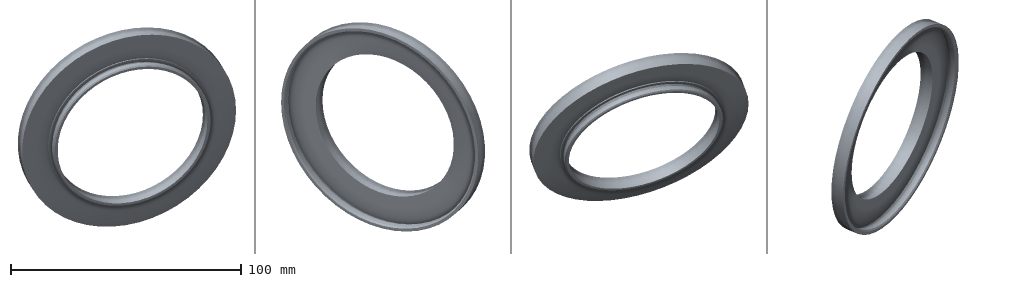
import cadquery as cq

RIM_WIDTH = 6.0
SHOULDER_WIDTH = 0.5
TOTAL_WIDTH = 10.5
SPIGOT_WIDTH = 2.5
RECESS_DEPTH = 4.5
UNDERCUT_WIDTH = 1.5

RIM_DIAMETER = 98.0
SHOULDER_DIAMETER = 74.0
SPIGOT_DIAMETER = 72.0
NECK_DIAMETER = 71.0
BORE_DIAMETER = 68.6
RECESS_DIAMETER = 94.0
UNDERCUT_DIAMETER = 95.2

MOUTH_CHAMFER = (UNDERCUT_DIAMETER - RECESS_DIAMETER) / 2
SPIGOT_CHAMFER = (SPIGOT_DIAMETER - NECK_DIAMETER) / 2

rim_radius = RIM_DIAMETER / 2
shoulder_radius = SHOULDER_DIAMETER / 2
spigot_radius = SPIGOT_DIAMETER / 2
neck_radius = NECK_DIAMETER / 2
bore_radius = BORE_DIAMETER / 2
recess_radius = RECESS_DIAMETER / 2
undercut_radius = UNDERCUT_DIAMETER / 2

shoulder_end = RIM_WIDTH + SHOULDER_WIDTH
spigot_start = TOTAL_WIDTH - SPIGOT_WIDTH
undercut_start = RECESS_DEPTH - UNDERCUT_WIDTH


def revolve_about_x(points):
    """Turn a closed (axial position, radius) outline about the X axis."""
    return cq.Workplane("XY").polyline(points).close().revolve(360, (0, 0, 0), (1, 0, 0))


def ring_body():
    """Rim, shoulder, neck and spigot around the through bore."""
    return revolve_about_x([
        (0, bore_radius),
        (0, rim_radius),
        (RIM_WIDTH, rim_radius),
        (RIM_WIDTH, shoulder_radius),
        (shoulder_end, shoulder_radius),
        (shoulder_end, neck_radius),
        (spigot_start - SPIGOT_CHAMFER, neck_radius),
        (spigot_start, spigot_radius),
        (TOTAL_WIDTH - SPIGOT_CHAMFER, spigot_radius),
        (TOTAL_WIDTH, neck_radius),
        (TOTAL_WIDTH, bore_radius),
    ])


def front_recess():
    """Recess in the open face, with a chamfered mouth and an undercut at its floor."""
    return revolve_about_x([
        (0, 0),
        (0, undercut_radius),
        (MOUTH_CHAMFER, recess_radius),
        (undercut_start, recess_radius),
        (undercut_start, undercut_radius),
        (RECESS_DEPTH, undercut_radius),
        (RECESS_DEPTH, 0),
    ])


result = ring_body().cut(front_recess())